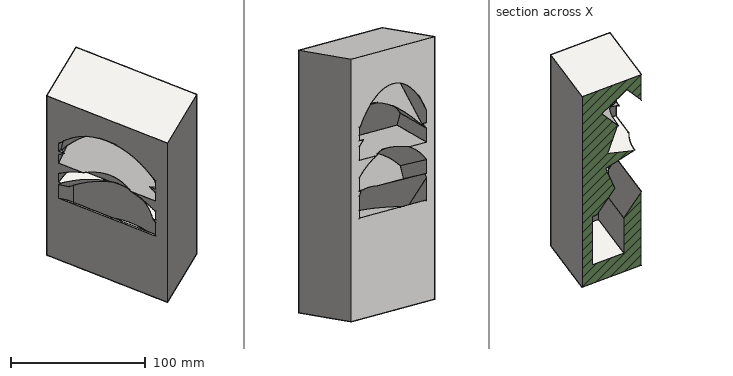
import cadquery as cq

BLOCK_WIDTH = 100.0
BLOCK_DEPTH = 50.0
BLOCK_HEIGHT = 200.0

SLOT_WIDTH = 80.0
SLOT_SIDE_HEIGHT = 10.0
ARCH_RISE = 16.0
SLOT_LENGTH = 50.0

SLOT_COUNT = 5
SLOT_PITCH = 40.0
LOWEST_TILT = -90.0
TILT_STEP = 36.0


def arched_slot(inner_end_z, tilt):
    """Slot running from its inner end on the middle plane toward the front (-Y) face.

    The tilt is in degrees about X: positive tilts make the slot rise toward its inner end,
    negative ones make it descend, and -90 makes it vertical with its arch facing +Y.
    """
    half_width = SLOT_WIDTH / 2
    slot = (
        cq.Workplane("XZ")
        .moveTo(-half_width, -SLOT_SIDE_HEIGHT)
        .lineTo(half_width, -SLOT_SIDE_HEIGHT)
        .lineTo(half_width, 0)
        .threePointArc((0, ARCH_RISE), (-half_width, 0))
        .close()
        .extrude(SLOT_LENGTH)
    )
    return slot.rotate((0, 0, 0), (1, 0, 0), tilt).translate((0, 0, inner_end_z))


result = cq.Workplane("XY").box(BLOCK_WIDTH, BLOCK_DEPTH, BLOCK_HEIGHT)

lowest_inner_end_z = -SLOT_PITCH * (SLOT_COUNT - 1) / 2
for index in range(SLOT_COUNT):
    inner_end_z = lowest_inner_end_z + index * SLOT_PITCH
    tilt = LOWEST_TILT + index * TILT_STEP
    result = result.cut(arched_slot(inner_end_z, tilt))